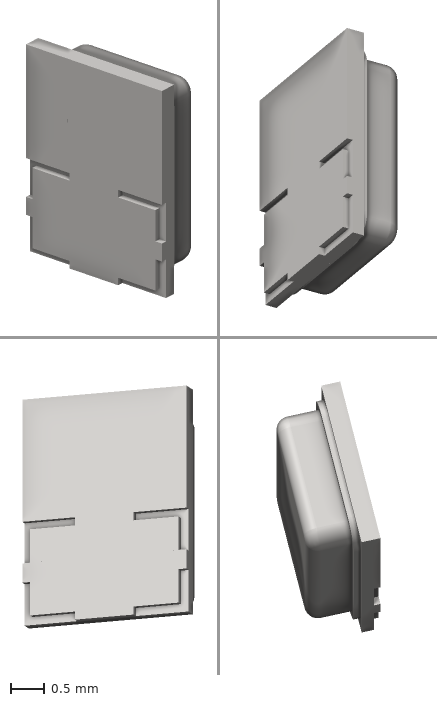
import cadquery as cq


board_width = 2.65
board_height = 3.5
board_thickness = 0.295

package_depth = 1.08
can_width = 2.245
can_height = 3.09
can_corner_radius = 0.27
can_top_fillet = 0.2
flange_overhang = 0.13
flange_thickness = 0.1

contact_depth = 0.1
pad_width = 0.725
pad_height = 0.52
pad_margin = 0.125
pad_row_spacing = 0.3
recess_width = pad_width + pad_margin
recess_height = pad_height + pad_margin
lower_recess_z = (recess_height - board_height) / 2
upper_recess_z = lower_recess_z + recess_height + pad_row_spacing

port_from_top = 1.04
port_z = board_height / 2 - port_from_top
seal_ring_outer_radius = 0.812
seal_ring_inner_radius = 0.51
port_ring_outer_radius = 0.31
port_radius = 0.165


def slab(width, height, y_start, thickness, x=0, z=0):
    """Rectangular block centred on (x, z), running from y_start toward +Y."""
    return cq.Workplane("XY").box(width, thickness, height).translate((x, y_start + thickness / 2, z))


def port_sketch():
    """Workplane on the contact face, centred on the port axis; negative extrusion goes into the board."""
    return cq.Workplane("XZ", origin=(0, 0, port_z))


def disc(radius):
    return port_sketch().circle(radius).extrude(-contact_depth)


def ring(outer_radius, inner_radius):
    return port_sketch().circle(outer_radius).circle(inner_radius).extrude(-contact_depth)


pad_positions = [(side, row) for side in (-1, 1) for row in (-1, 1)]


def recess_z(row):
    return upper_recess_z if row > 0 else lower_recess_z


def make_pad_recess(side, row):
    recess_x = side * (board_width - recess_width) / 2
    return slab(recess_width, recess_height, 0, contact_depth, recess_x, recess_z(row))


def make_pad(side, row):
    """Pad against the two recess walls nearest the board middle and the bar between rows."""
    pad_x = side * ((board_width - pad_width) / 2 - pad_margin)
    pad_z = recess_z(row) - row * pad_margin / 2
    return slab(pad_width, pad_height, 0, contact_depth, pad_x, pad_z)


def make_seal_ring():
    return ring(seal_ring_outer_radius, seal_ring_inner_radius)


def make_port_ring():
    return ring(port_ring_outer_radius, port_radius)


def make_port_plug():
    return disc(port_radius)


def make_board():
    """Board with the pad recesses, the seal ring groove and the round port recess."""
    body = slab(board_width, board_height, 0, board_thickness)
    for side, row in pad_positions:
        body = body.cut(make_pad_recess(side, row))
    body = body.cut(make_seal_ring())
    return body.cut(disc(port_ring_outer_radius))


def make_can():
    """Rounded can with a flange that rests on the board."""
    flange = slab(
        can_width + 2 * flange_overhang,
        can_height + 2 * flange_overhang,
        board_thickness,
        flange_thickness,
    )
    flange = flange.edges("|Y").fillet(can_corner_radius + flange_overhang)
    cover = slab(can_width, can_height, board_thickness, package_depth - board_thickness)
    cover = cover.edges("|Y").fillet(can_corner_radius)
    cover = cover.faces(">Y").edges().fillet(can_top_fillet)
    return cover.union(flange)


board = make_board()
can = make_can()
pads = [make_pad(side, row) for side, row in pad_positions]
seal_ring = make_seal_ring()
port_ring = make_port_ring()
port_plug = make_port_plug()

result = cq.Compound.makeCompound(
    [
        board.solids().val(),
        can.solids().val(),
        *[pad.val() for pad in pads],
        seal_ring.val(),
        port_ring.val(),
        port_plug.val(),
    ]
)